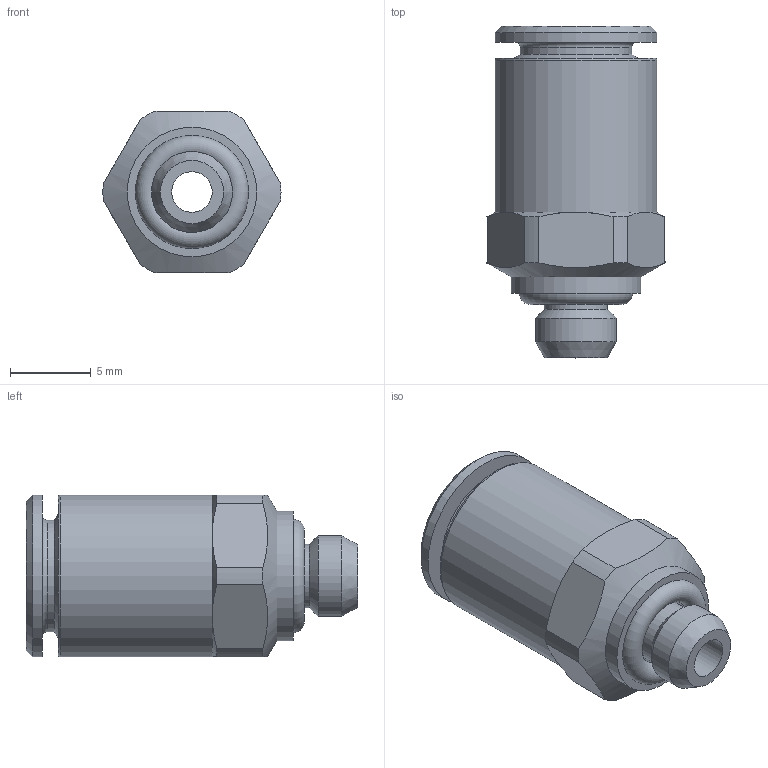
import cadquery as cq
import math


bore_dia = 2.5
thread_dia = 5.0
undercut_dia = 3.9
tip_dia = 3.9
ring_outer_dia = 7.0
collar_dia = 8.0
body_dia = 10.0
release_flange_dia = 10.0
release_neck_dia = 6.9
hex_corner_dia = 11.0
hex_across_flats = 10.0

hex_turn = 30.0

tip_y = -4.0
undercut_end_y = -1.0
collar_end_y = 1.0
body_start_y = 5.0
body_end_y = 14.5
flange_start_y = 15.5
flange_end_y = 16.5

hex_chamfer_angle = 30.0
tip_taper_length = 1.0
ring_section_radius = 0.7
flange_chamfer = 0.4
flange_neck_fillet = 0.3
neck_flare_length = 0.25
neck_flare_angle = 30.0
body_edge_width = 0.05
body_edge_length = 0.12
bore_overrun = 1.0


def radius(diameter):
    return diameter / 2


def hex_chamfer_length(inner_dia):
    """Axial length of the cone between inner_dia and the hexagon corners."""
    rise = radius(hex_corner_dia) - radius(inner_dia)
    return rise * math.tan(math.radians(hex_chamfer_angle))


def revolve_about_y(profile):
    return profile.close().revolve(360, (0, 0, 0), (0, 1, 0))


def make_threaded_stub():
    """Thread plug with a tapered tip and a relieved undercut behind it."""
    relief_length = radius(thread_dia) - radius(undercut_dia)
    profile = (
        cq.Workplane("XY")
        .moveTo(0, tip_y)
        .lineTo(radius(tip_dia), tip_y)
        .lineTo(radius(thread_dia), tip_y + tip_taper_length)
        .lineTo(radius(thread_dia), undercut_end_y - relief_length)
        .lineTo(radius(undercut_dia), undercut_end_y)
        .lineTo(radius(undercut_dia), collar_end_y)
        .lineTo(0, collar_end_y)
    )
    return revolve_about_y(profile)


def make_sealing_ring():
    """O-ring half proud of the seat face."""
    centre_radius = radius(ring_outer_dia) - ring_section_radius
    return (
        cq.Workplane("XY")
        .center(centre_radius, 0)
        .circle(ring_section_radius)
        .revolve(360, (-centre_radius, 0, 0), (-centre_radius, 1, 0))
    )


def make_collar():
    profile = cq.Workplane("XY").rect(radius(collar_dia), collar_end_y, centered=False)
    return profile.revolve(360, (0, 0, 0), (0, 1, 0))


def make_hexagon():
    """Wrench hexagon with flats facing +Z and -Z, turned down at both ends."""
    length = body_start_y - collar_end_y
    prism = (
        cq.Workplane("XZ", origin=(0, body_start_y, 0))
        .polygon(6, hex_across_flats, circumscribed=True)
        .extrude(length)
        .rotate((0, 0, 0), (0, 1, 0), hex_turn)
    )
    turned = (
        cq.Workplane("XY")
        .moveTo(0, collar_end_y)
        .lineTo(radius(collar_dia), collar_end_y)
        .lineTo(radius(hex_corner_dia), collar_end_y + hex_chamfer_length(collar_dia))
        .lineTo(radius(hex_corner_dia), body_start_y - hex_chamfer_length(body_dia))
        .lineTo(radius(body_dia), body_start_y)
        .lineTo(0, body_start_y)
    )
    return prism.intersect(revolve_about_y(turned))


def make_body():
    """Cylindrical housing with a lightly broken rear edge."""
    profile = (
        cq.Workplane("XY")
        .moveTo(0, body_start_y)
        .lineTo(radius(body_dia), body_start_y)
        .lineTo(radius(body_dia), body_end_y - body_edge_length)
        .lineTo(radius(body_dia) - body_edge_width, body_end_y)
        .lineTo(0, body_end_y)
    )
    return revolve_about_y(profile)


def make_release_sleeve():
    """Release flange on a neck, filleted at the flange and coned at the body."""
    neck = radius(release_neck_dia)
    flare_width = neck_flare_length / math.tan(math.radians(neck_flare_angle))
    rim = radius(release_flange_dia)
    profile = (
        cq.Workplane("XY")
        .moveTo(0, body_end_y)
        .lineTo(neck + flare_width, body_end_y)
        .lineTo(neck, body_end_y + neck_flare_length)
        .lineTo(neck, flange_start_y - flange_neck_fillet)
        .radiusArc((neck + flange_neck_fillet, flange_start_y), flange_neck_fillet)
        .lineTo(rim, flange_start_y)
        .lineTo(rim, flange_end_y - flange_chamfer)
        .lineTo(rim - flange_chamfer, flange_end_y)
        .lineTo(0, flange_end_y)
    )
    return revolve_about_y(profile)


def make_bore():
    """Through bore along the whole axis."""
    length = flange_end_y - tip_y + 2 * bore_overrun
    return (
        cq.Workplane("XZ", origin=(0, flange_end_y + bore_overrun, 0))
        .circle(radius(bore_dia))
        .extrude(length)
    )


result = (
    make_threaded_stub()
    .union(make_collar())
    .union(make_sealing_ring())
    .union(make_hexagon())
    .union(make_body())
    .union(make_release_sleeve())
    .cut(make_bore())
)